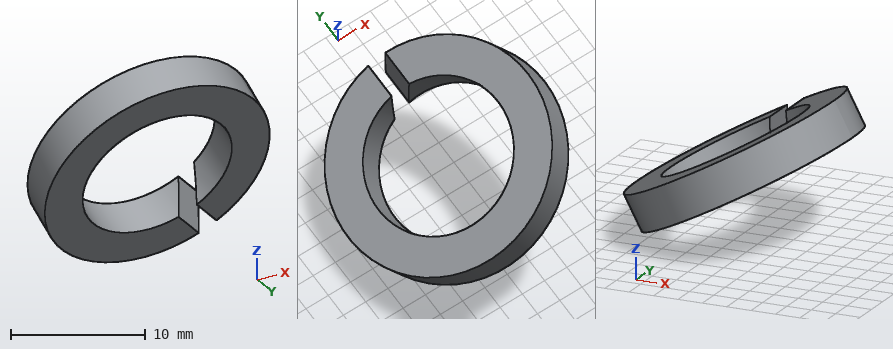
import cadquery as cq

outer_diameter = 18.4
inner_diameter = 12.2
thickness = 3.11
washer_tilt = 28.2

slit_width = 1.45
slit_tilt = 2.2
slit_length = outer_diameter
slit_height = outer_diameter


def tilt_about_y(body, angle):
    """Lean the top of a body toward -X by an angle in degrees."""
    return body.rotate((0, 0, 0), (0, 1, 0), -angle)


def make_washer():
    ring = (
        cq.Workplane("XY")
        .workplane(offset=-thickness / 2)
        .circle(outer_diameter / 2)
        .circle(inner_diameter / 2)
        .extrude(thickness)
    )
    return tilt_about_y(ring, washer_tilt)


def make_slit():
    cutter = cq.Workplane("XY").box(
        slit_width, slit_length, slit_height, centered=(True, False, True)
    )
    return tilt_about_y(cutter, slit_tilt)


result = make_washer().cut(make_slit())